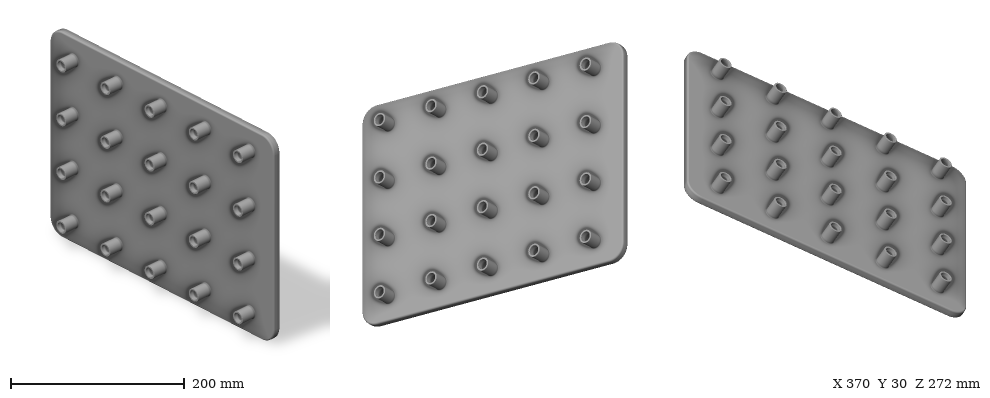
import cadquery as cq

plate_width = 370.0
plate_height = 272.0
plate_thickness = 10.0
corner_radius = 20.0
rim_fillet = 2.0

peg_columns = 5
peg_rows = 4
peg_grid_width = 292.0
peg_grid_height = 214.0
peg_length = 20.0
peg_diameter = 16.3
peg_wall = 2.15
foot_fillet = 1.0
tip_chamfer = 0.22

column_pitch = peg_grid_width / (peg_columns - 1)
row_pitch = peg_grid_height / (peg_rows - 1)
peg_radius = peg_diameter / 2
bore_radius = peg_radius - peg_wall
peg_root_depth = plate_thickness / 2

peg_centers = [
    (column * column_pitch - peg_grid_width / 2, row * row_pitch - peg_grid_height / 2)
    for column in range(peg_columns)
    for row in range(peg_rows)
]


def make_plate():
    """Plate with rounded corners and filleted front and back rims."""
    return (
        cq.Workplane("XZ")
        .rect(plate_width, plate_height)
        .extrude(-plate_thickness)
        .edges("|Y")
        .fillet(corner_radius)
        .faces("<Y or >Y")
        .edges()
        .fillet(rim_fillet)
    )


def make_peg():
    """One hollow peg about the Y axis: root in the plate, filleted foot, chamfered tip."""
    foot_radius = peg_radius + foot_fillet
    return (
        cq.Workplane("XY")
        .moveTo(bore_radius, peg_root_depth)
        .lineTo(foot_radius, peg_root_depth)
        .lineTo(foot_radius, 0)
        .radiusArc((peg_radius, -foot_fillet), -foot_fillet)
        .lineTo(peg_radius, -peg_length)
        .lineTo(bore_radius, -peg_length)
        .close()
        .revolve(360, (0, 0), (0, 1))
        .faces("<Y")
        .edges()
        .chamfer(tip_chamfer)
    )


plate = make_plate()
bores = cq.Workplane("XZ").pushPoints(peg_centers).circle(bore_radius).extrude(-plate_thickness)
result = plate.cut(bores)

peg = make_peg()
for x, z in peg_centers:
    result = result.union(peg.translate((x, 0, z)))